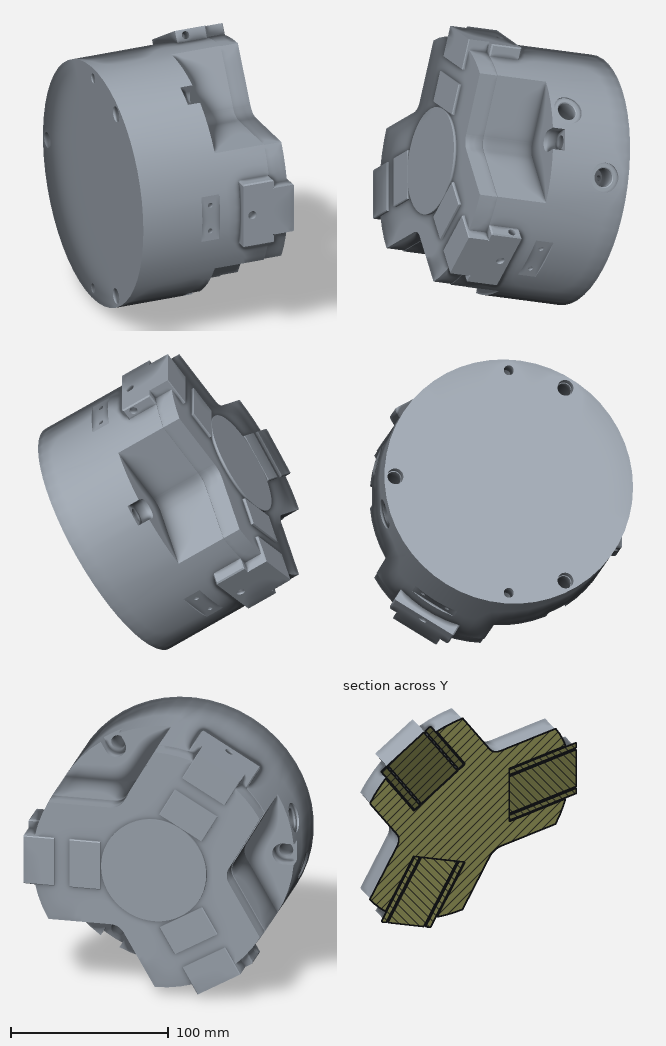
import cadquery as cq
import math


overall_height = 168.2
jaw_angles = [0, 120, 240]
notch_angles = [60, 180, 300]

body_radius = 80.0
arm_step_y = 54.0
shoulder_y = 88.0
housing_top_y = 100.1
arm_half_width = 40.0
notch_fillet = 10.0
cover_inset = 0.5
boss_radius = 34.3

jaw_reach = 85.0
jaw_inner_radius = 35.0
jaw_bottom_y = 67.0
jaw_top_y = 102.0
jaw_stem_half_width = 16.1
jaw_chamfer = 0.8
jaw_top_chamfer = 0.5
jaw_relief = 1.0
jaw_face_half_width = 2 * (overall_height / 2 - jaw_reach * math.cos(math.radians(30)))
jaw_base_half_width = jaw_face_half_width + jaw_chamfer
cross_slot_inner_radius = 55.0
cross_slot_width = 10.0
jaw_hole_y = 73.2
jaw_face_hole_diameter = 5.5
jaw_side_hole_diameter = 5.0
jaw_side_hole_radius = 81.0
jaw_hole_depth = 8.4

bolt_circle_radius = 73.0
bolt_hole_diameter = 9.0
bolt_mouth_diameter = 10.3
bolt_mouth_depth = 6.0
bolt_seat_width = 14.1
bolt_seat_depth = 8.4
dowel_angles = [90, 270]
dowel_diameter = 6.4
dowel_depth = 11.8

port_places = [(165, 42.2, 1), (195, 16.5, -1)]
port_seat_diameter = 19.0
port_seat_radius = 78.5
port_diameter = 12.1
port_depth = 16.0
port_chamfer = 0.5
feed_diameter = 3.4
feed_offset = 3.5
feed_depth = 5.0

pad_angles = [0, 240]
pad_length = 31.0
pad_bottom_y = 40.7
pad_top_y = 53.0
pad_hole_spacing = 17.8
pad_hole_diameter = 3.4
pad_hole_depth = 6.7

drill_half_angle = math.radians(59)
clearance = 8.4


def at_angle(shape, angle):
    """Turn a shape about the Y axis, from +X towards +Z."""
    return shape.rotate((0, 0, 0), (0, -1, 0), angle)


def disc(radius, y_start, y_end):
    return cq.Workplane("XZ", origin=(0, y_start, 0)).circle(radius).extrude(y_start - y_end)


def radial_block(r_start, r_end, half_width, y_start, y_end):
    """Block along +X, symmetric about Z = 0."""
    size = (r_end - r_start, y_end - y_start, 2 * half_width)
    block = cq.Workplane("XY").box(*size, centered=(False, False, True))
    return block.translate((r_start, y_start, 0))


def cylinder(diameter, depth, start, direction):
    return cq.Workplane(
        cq.Solid.makeCylinder(diameter / 2, depth, cq.Vector(*start), cq.Vector(*direction))
    )


def drilled_hole(diameter, depth, start, direction):
    """Blind hole with a conical drill tip."""
    axis = cq.Vector(*direction)
    tip_start = cq.Vector(*start) + axis * depth
    tip_height = diameter / 2 / math.tan(drill_half_angle)
    tip = cq.Solid.makeCone(diameter / 2, 0, tip_height, tip_start, axis)
    return cylinder(diameter, depth, start, direction).union(cq.Workplane(tip))


def countersink(diameter, size, start, direction):
    """45 degree chamfer at the mouth of a round hole."""
    large_radius = diameter / 2 + size
    cone = cq.Solid.makeCone(
        large_radius, diameter / 2, size, cq.Vector(*start), cq.Vector(*direction)
    )
    return cq.Workplane(cone)



def arm_star(radius, half_width, y_start, y_end):
    """Three radial arms with filleted inside corners, cut to a round outline."""
    star = None
    for angle in jaw_angles:
        arm = at_angle(radial_block(0, 2 * radius, half_width, y_start, y_end), angle)
        star = arm if star is None else star.union(arm)
    near_axis = cq.selectors.BoxSelector((-radius, y_start, -radius), (radius, y_end, radius))
    star = star.edges("|Y").edges(near_axis).fillet(notch_fillet)
    return star.intersect(disc(radius, y_start, y_end))


def jaw_guide(r_end):
    """T-shaped radial recess that a jaw fills: wide below the shoulder, narrower above."""
    base = radial_block(jaw_inner_radius, r_end, jaw_base_half_width, jaw_bottom_y, shoulder_y)
    stem = radial_block(jaw_inner_radius, r_end, jaw_stem_half_width, shoulder_y, jaw_top_y)
    return base.union(stem)


def bolt_hole():
    """Stepped through hole with a seat that opens into the notch and through the wall."""
    start = (bolt_circle_radius, 0, 0)
    seat_bottom_y = arm_step_y - bolt_seat_depth
    hole = cylinder(bolt_hole_diameter, arm_step_y, start, (0, 1, 0))
    hole = hole.union(cylinder(bolt_mouth_diameter, bolt_mouth_depth, start, (0, 1, 0)))
    seat_start = (bolt_circle_radius, seat_bottom_y, 0)
    seat = cylinder(bolt_seat_width, bolt_seat_depth, seat_start, (0, 1, 0))
    opening = radial_block(
        bolt_circle_radius, body_radius + clearance, bolt_seat_width / 2, seat_bottom_y, arm_step_y
    )
    return hole.union(seat).union(opening)


def air_port(y, feed_side):
    """Spot-faced port with a small feed hole in its floor."""
    inward = (-1, 0, 0)
    seat = cylinder(port_seat_diameter, clearance, (port_seat_radius + clearance, y, 0), inward)
    mouth = (port_seat_radius, y, 0)
    bore = cylinder(port_diameter, port_depth, mouth, inward)
    chamfer = countersink(port_diameter, port_chamfer, mouth, inward)
    feed_start = (port_seat_radius - port_depth, y + feed_side * feed_offset, 0)
    feed = cylinder(feed_diameter, feed_depth, feed_start, inward)
    return seat.union(bore).union(chamfer).union(feed)


def sensor_pad():
    """Flat on the round wall with two screw holes."""
    half_length = pad_length / 2
    flat_radius = math.sqrt(body_radius ** 2 - half_length ** 2)
    pad = radial_block(flat_radius, body_radius + clearance, half_length, pad_bottom_y, pad_top_y)
    middle_y = (pad_bottom_y + pad_top_y) / 2
    for side in (-1, 1):
        start = (flat_radius, middle_y, side * pad_hole_spacing / 2)
        pad = pad.union(drilled_hole(pad_hole_diameter, pad_hole_depth, start, (-1, 0, 0)))
    return pad


def make_housing():
    housing = disc(body_radius, 0, arm_step_y)
    housing = housing.union(arm_star(body_radius, arm_half_width, arm_step_y, shoulder_y))
    housing = housing.union(
        arm_star(body_radius - cover_inset, arm_half_width - cover_inset, shoulder_y, housing_top_y)
    )
    housing = housing.union(disc(boss_radius, housing_top_y, jaw_top_y))
    for angle in jaw_angles:
        housing = housing.cut(at_angle(jaw_guide(body_radius + clearance), angle))
    for angle in notch_angles:
        housing = housing.cut(at_angle(bolt_hole(), angle))
    for angle in dowel_angles:
        dowel_hole = drilled_hole(
            dowel_diameter, dowel_depth, (bolt_circle_radius, 0, 0), (0, 1, 0)
        )
        housing = housing.cut(at_angle(dowel_hole, angle))
    for angle, y, feed_side in port_places:
        housing = housing.cut(at_angle(air_port(y, feed_side), angle))
    for angle in pad_angles:
        housing = housing.cut(at_angle(sensor_pad(), angle))
    return housing



def make_jaw():
    """Jaw along +X; it is turned into its guide afterwards."""
    base_length = jaw_reach - jaw_inner_radius
    base = radial_block(
        jaw_inner_radius, jaw_reach, jaw_base_half_width, jaw_bottom_y, shoulder_y
    )
    base = base.faces("<Z or >Z").chamfer(jaw_chamfer)
    stem = radial_block(jaw_inner_radius, jaw_reach, jaw_stem_half_width, shoulder_y, jaw_top_y)
    stem = stem.faces(">Y").edges("|X").chamfer(jaw_top_chamfer)
    jaw = base.union(stem)
    for side in (-1, 1):
        groove = cq.Workplane("XY").box(base_length, jaw_relief, jaw_relief)
        groove_middle_x = jaw_inner_radius + base_length / 2
        jaw = jaw.cut(groove.translate((groove_middle_x, shoulder_y, side * jaw_stem_half_width)))
    cross_slot = radial_block(
        cross_slot_inner_radius,
        cross_slot_inner_radius + cross_slot_width,
        jaw_stem_half_width,
        housing_top_y,
        jaw_top_y,
    )
    face_hole = drilled_hole(
        jaw_face_hole_diameter, jaw_hole_depth, (jaw_reach, jaw_hole_y, 0), (-1, 0, 0)
    )
    side_hole = drilled_hole(
        jaw_side_hole_diameter,
        jaw_hole_depth,
        (jaw_side_hole_radius, jaw_hole_y, -jaw_base_half_width),
        (0, 0, 1),
    )
    return jaw.cut(cross_slot).cut(face_hole).cut(side_hole)


housing = make_housing().solids()
jaws = [at_angle(make_jaw(), angle).solids() for angle in jaw_angles]

result = cq.Compound.makeCompound([housing.val(), *[jaw.val() for jaw in jaws]])